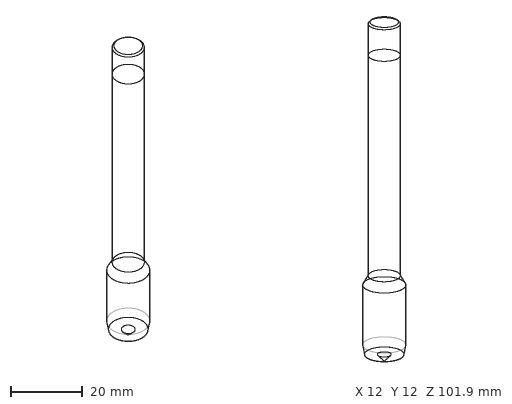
import cadquery as cq

total_length = 101.9

head_radius = 6.0
head_base_radius = 5.5
point_radius = 1.9
point_height = 2.0
base_taper_height = 2.9
head_height = 18.0
shoulder_height = 2.8

shank_radius = 4.5
cap_length = 10.0
cap_chamfer = 0.5

head_bottom_z = point_height + base_taper_height
head_top_z = head_bottom_z + head_height
shank_bottom_z = head_top_z + shoulder_height
cap_bottom_z = total_length - cap_length


def make_punch():
    """Pointed head, tapered shoulder and shank, revolved about Z."""
    profile = (
        cq.Workplane("XZ")
        .moveTo(0, 0)
        .lineTo(point_radius, point_height)
        .lineTo(head_base_radius, point_height)
        .lineTo(head_radius, head_bottom_z)
        .lineTo(head_radius, head_top_z)
        .lineTo(shank_radius, shank_bottom_z)
        .lineTo(shank_radius, cap_bottom_z)
        .lineTo(0, cap_bottom_z)
        .close()
    )
    return profile.revolve(360, (0, 0, 0), (0, 1, 0))


def make_end_cap():
    """Cylinder flush with the shank, chamfered around its top rim."""
    cap = cq.Workplane("XY").workplane(offset=cap_bottom_z).circle(shank_radius).extrude(cap_length)
    return cap.faces(">Z").edges().chamfer(cap_chamfer)


punch = make_punch()
end_cap = make_end_cap()

result = cq.Compound.makeCompound([punch.val(), end_cap.val()])